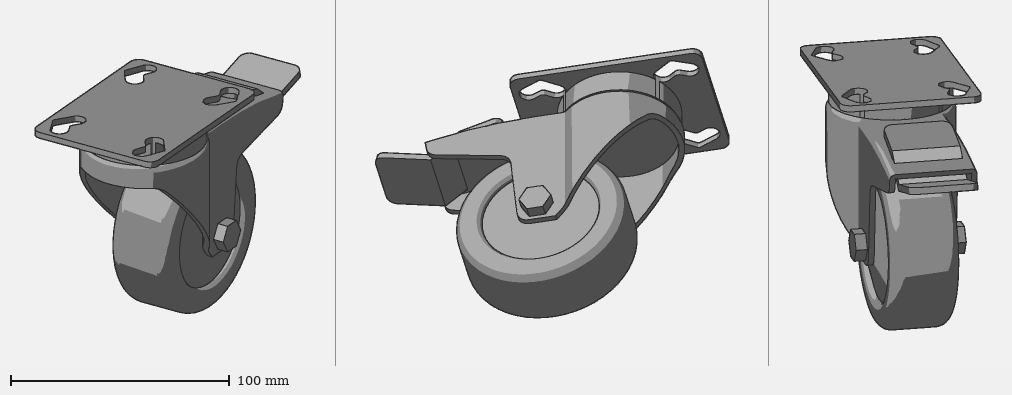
import cadquery as cq
import math


plate_width = 66.0
plate_length = 90.0
plate_thickness = 3.0
plate_corner_radius = 4.7

slot_outer_end = (22.3, 37.8)
slot_bend = (25.4, 31.0)
slot_inner_end = (21.0, 25.0)
slot_width = 8.5
slot_outside_radius = 1.5
slot_inside_radius = 2.5

bearing_radius = 28.5
bearing_bottom = -14.1
neck_radius = 26.6

wall = 2.7
fork_top = -14.6
head_radius = 29.8
leg_outside = 20.5
leg_blend_radius = 5.5
fork_edge_radius = 2.8
head_rim_bottom = -25.2
rim_blend_radius = 7.8
rim_slope_top = -20.5
rim_slope_bottom = 25.5
leg_bottom = -79.5
cover_flat_end = 35.1
cover_curve_end = (81.8, -19.5)
cover_back = 86.8
cover_nose = (85.5, -30.0)
nose_radius = 5.5
leg_crotch = (46.9, -38.1)
crotch_radius = 6.3
leg_heel = (43.1, leg_bottom)
heel_radius = 5.5

cover_drop_angle = 2 * math.atan2(fork_top - cover_curve_end[1], cover_curve_end[0] - cover_flat_end)
cover_tip_z = cover_curve_end[1] - (cover_back - cover_curve_end[0]) * math.tan(cover_drop_angle)

axle_y = 34.0
axle_z = -71.0
wheel_radius = 40.0
tread_half_width = 16.0
tread_edge_radius = 5.8
rim_lip_radius = 27.5
rim_lip_round = 3.0
hub_radius = 11.1
hub_half_width = leg_outside - wall

hex_across_flats = 13.0
bolt_half_length = 25.9
hex_turn = 30

pedal_tip = (111.0, -19.3)
rocker_valley = (85.7, -25.7)
rocker_crest = (71.5, -14.1)
release_tip = (51.9, -8.2)
rocker_thickness = 3.1
rocker_width = 32.0
rocker_corner_radius = 4.7


def offset_path(points, distance):
    """Shift an open path sideways (left is positive) with mitred corners."""
    normals = []
    for (a0, b0), (a1, b1) in zip(points, points[1:]):
        length = math.hypot(a1 - a0, b1 - b0)
        normals.append(((b0 - b1) / length, (a1 - a0) / length))
    shifted = []
    for i, (a, b) in enumerate(points):
        before = normals[max(i - 1, 0)]
        after = normals[min(i, len(normals) - 1)]
        scale = distance / (1 + before[0] * after[0] + before[1] * after[1])
        shifted.append((a + scale * (before[0] + after[0]), b + scale * (before[1] + after[1])))
    return shifted


def round_corner(body, edge_middle, radius):
    nearest = cq.selectors.NearestToPointSelector(edge_middle)
    return body.edges(nearest).fillet(radius)


def bolt_slot():
    path = [slot_outer_end, slot_bend, slot_inner_end]
    inside = offset_path(path, -slot_width / 2)
    outside = offset_path(path, slot_width / 2)
    slot = cq.Workplane("XY").polyline(inside + outside[::-1]).close().extrude(bearing_bottom)
    for corner, radius in ((outside[1], slot_outside_radius), (inside[1], slot_inside_radius)):
        slot = round_corner(slot, (*corner, bearing_bottom / 2), radius)
    ends = cq.Workplane("XY").pushPoints([slot_outer_end, slot_inner_end])
    return slot.union(ends.circle(slot_width / 2).extrude(bearing_bottom))


def plate_and_bearing():
    """The slots pass down the side of the bearing and graze it."""
    plate = cq.Workplane("XY").rect(plate_width, plate_length).extrude(-plate_thickness)
    plate = plate.edges("|Z").fillet(plate_corner_radius)
    bearing = cq.Workplane("XY").workplane(offset=-plate_thickness)
    bearing = bearing.circle(bearing_radius).extrude(bearing_bottom + plate_thickness)
    neck = cq.Workplane("XY").workplane(offset=bearing_bottom)
    neck = neck.circle(neck_radius).extrude(fork_top - wall - bearing_bottom)
    right_slots = bolt_slot().union(bolt_slot().mirror("XZ"))
    return plate.union(bearing).cut(right_slots).cut(right_slots.mirror("YZ")).union(neck)


def fork_plan(inset, back):
    """Round head blended into two parallel legs, as a tall block."""
    radius = head_radius - inset
    leg = leg_outside - inset
    blend = leg_blend_radius + inset
    blend_y = math.sqrt((radius + blend) ** 2 - (leg + blend) ** 2)
    share = radius / (radius + blend)
    touch = ((leg + blend) * share, blend_y * share)
    middle_angle = math.pi + math.atan2(blend_y, leg + blend) / 2
    middle = (
        leg + blend + blend * math.cos(middle_angle),
        blend_y + blend * math.sin(middle_angle),
    )
    return (
        cq.Workplane("XY")
        .moveTo(-leg, back)
        .lineTo(-leg, blend_y)
        .threePointArc((-middle[0], middle[1]), (-touch[0], touch[1]))
        .threePointArc((0, -radius), touch)
        .threePointArc(middle, (leg, blend_y))
        .lineTo(leg, back)
        .close()
        .extrude(2 * leg_bottom)
    )


def fork_side():
    """Side outline of the fork, extruded across its width."""
    rim_corner = (rim_slope_top, head_rim_bottom)
    side = (
        cq.Workplane("YZ")
        .moveTo(-head_radius, fork_top)
        .lineTo(cover_flat_end, fork_top)
        .tangentArcPoint(cover_curve_end, relative=False)
        .lineTo(cover_back, cover_tip_z)
        .lineTo(*cover_nose)
        .lineTo(*leg_crotch)
        .lineTo(*leg_heel)
        .lineTo(rim_slope_bottom, leg_bottom)
        .lineTo(*rim_corner)
        .lineTo(-head_radius, head_rim_bottom)
        .close()
        .extrude(head_radius, both=True)
    )
    rounded_corners = (
        (cover_nose, nose_radius),
        (leg_crotch, crotch_radius),
        (leg_heel, heel_radius),
        (rim_corner, rim_blend_radius),
    )
    for corner, radius in rounded_corners:
        side = round_corner(side, (0, *corner), radius)
    return side


def fork_cavity():
    """Inner space of the fork, open downward and at the back."""
    back = cover_back + wall
    roof = (
        cq.Workplane("YZ")
        .moveTo(-head_radius, fork_top - wall)
        .lineTo(cover_flat_end, fork_top - wall)
        .tangentArcPoint((cover_curve_end[0], cover_curve_end[1] - wall), relative=False)
        .lineTo(back, cover_tip_z - wall)
        .lineTo(back, 2 * leg_bottom)
        .lineTo(-head_radius, 2 * leg_bottom)
        .close()
        .extrude(head_radius, both=True)
    )
    return fork_plan(wall, back).intersect(roof)


def fork():
    body = fork_plan(0, cover_back + wall).intersect(fork_side())
    body = body.faces(">Z").edges("not(|X)").fillet(fork_edge_radius)
    return body.cut(fork_cavity())


def wheel():
    """Half profile revolved about the axle and mirrored."""
    diagonal = math.sqrt(0.5)
    tread_flat = tread_half_width - tread_edge_radius
    shoulder = wheel_radius - tread_edge_radius
    lip_top = rim_lip_radius + rim_lip_round
    half = (
        cq.Workplane("XY")
        .lineTo(0, wheel_radius)
        .lineTo(tread_flat, wheel_radius)
        .threePointArc(
            (tread_flat + tread_edge_radius * diagonal, shoulder + tread_edge_radius * diagonal),
            (tread_half_width, shoulder),
        )
        .lineTo(tread_half_width, lip_top)
        .threePointArc(
            (tread_half_width - rim_lip_round * (1 - diagonal), lip_top - rim_lip_round * diagonal),
            (tread_half_width - rim_lip_round, rim_lip_radius),
        )
        .lineTo(hub_half_width, hub_radius)
        .lineTo(hub_half_width, 0)
        .close()
        .revolve(360, (0, 0, 0), (1, 0, 0))
    )
    return half.union(half.mirror("YZ")).translate((0, axle_y, axle_z))


def axle_bolt():
    hexagon = cq.Workplane("YZ").polygon(6, hex_across_flats, circumscribed=True)
    bolt = hexagon.extrude(bolt_half_length, both=True).rotate((0, 0, 0), (1, 0, 0), hex_turn)
    return bolt.translate((0, axle_y, axle_z))


def brake_rocker():
    upper = [pedal_tip, rocker_valley, rocker_crest, release_tip]
    lower = offset_path(upper, rocker_thickness)
    strip = cq.Workplane("YZ").polyline(upper + lower[::-1]).close()
    strip = strip.extrude(rocker_width / 2, both=True)
    for end in (0, -1):
        for x in (-rocker_width / 2, rocker_width / 2):
            tip = (x, (upper[end][0] + lower[end][0]) / 2, (upper[end][1] + lower[end][1]) / 2)
            strip = round_corner(strip, tip, rocker_corner_radius)
    return strip


result = (
    plate_and_bearing()
    .union(fork())
    .union(wheel())
    .union(axle_bolt())
    .union(brake_rocker())
)